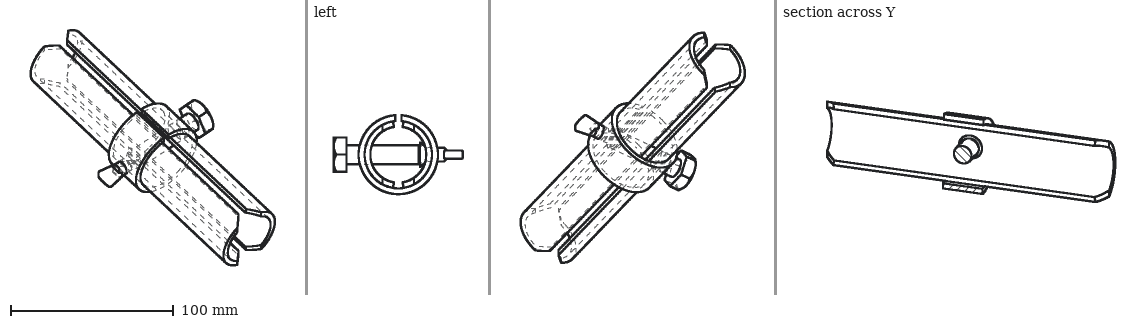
import cadquery as cq
import math


TUBE_LENGTH = 185.0
TUBE_OUTER_R = 20.7
TUBE_INNER_R = 17.2
SPLIT_HALF_GAP = 3.1
CORNER_CUT_Y = 9.6
CORNER_CUT_X = 7.0

COLLAR_LENGTH = 26.0
COLLAR_OUTER_R = 24.5
COLLAR_SLOT = 3.7

ASSEMBLY_Y = 79.5
BOLT_TOP_Y = ASSEMBLY_Y / 2
BOLT_HEAD_HEIGHT = 8.0
BOLT_CORNER_R = 12.2
BOLT_HEAD_BEVEL = 1.7
SHANK_R = 6.0
SHANK_TIP_BEVEL = 1.0

PIN_TIP_Y = BOLT_TOP_Y - ASSEMBLY_Y
PIN_HEAD_Y = -13.5
PIN_HEAD_R = 7.5
PIN_HEAD_DEPTH = 4.3
PIN_R = 4.3
PIN_SHOULDER_Y = -28.1
BLADE_THICKNESS = 5.2
BLADE_FACE_Y = PIN_SHOULDER_Y - (PIN_R - BLADE_THICKNESS / 2)
BLADE_TIP_HALF_WIDTH = 6.1
BLADE_TIP_BULGE = 0.5
BLADE_CORNER_R = 1.5
BLADE_EDGE_R = 1.1


def tube_along_x(length, outer_r, inner_r):
    """Hollow cylinder centred on the origin."""
    return cq.Workplane("YZ").circle(outer_r).circle(inner_r).extrude(length / 2, both=True)


def cylinder_along_y(radius, start_y, end_y):
    """Solid cylinder on the Y axis, from start_y up to end_y."""
    return cq.Workplane("XZ", origin=(0, end_y, 0)).circle(radius).extrude(end_y - start_y)


def round_pin():
    """Countersunk head on a straight shaft that ends where the blade faces begin."""
    return (
        cq.Workplane("XY")
        .moveTo(0, PIN_HEAD_Y)
        .lineTo(PIN_HEAD_R, PIN_HEAD_Y)
        .lineTo(PIN_R, PIN_HEAD_Y - PIN_HEAD_DEPTH)
        .lineTo(PIN_R, BLADE_FACE_Y)
        .lineTo(0, BLADE_FACE_Y)
        .close()
        .revolve(360, (0, 0, 0), (0, 1, 0))
    )


def shoulder_bevels():
    """Wedges that slope the shaft at 45 degrees down to the two blade faces."""
    upper = (
        cq.Workplane("YZ", origin=(-PIN_R, 0, 0))
        .polyline([
            (PIN_SHOULDER_Y, PIN_R),
            (BLADE_FACE_Y, BLADE_THICKNESS / 2),
            (BLADE_FACE_Y, PIN_R),
        ])
        .close()
        .extrude(2 * PIN_R)
    )
    return upper.union(upper.mirror("XY"))


def pin_blade():
    """Flat blade that widens toward a slightly bulged tip, with rounded edges."""
    corner_y = PIN_TIP_Y + BLADE_TIP_BULGE
    return (
        cq.Workplane("XY")
        .moveTo(-PIN_R, PIN_SHOULDER_Y)
        .lineTo(-BLADE_TIP_HALF_WIDTH, corner_y)
        .threePointArc((0, PIN_TIP_Y), (BLADE_TIP_HALF_WIDTH, corner_y))
        .lineTo(PIN_R, PIN_SHOULDER_Y)
        .close()
        .extrude(BLADE_THICKNESS / 2, both=True)
        .edges("|Z")
        .edges("<Y")
        .fillet(BLADE_CORNER_R)
        .faces("|Z")
        .edges()
        .fillet(BLADE_EDGE_R)
    )


def make_pin():
    return round_pin().cut(shoulder_bevels()).union(pin_blade())


def make_bolt():
    """Hexagon head with bevelled corners, and a round shank that ends on the pin head."""
    head_bottom_y = BOLT_TOP_Y - BOLT_HEAD_HEIGHT
    bevel_blank = (
        cylinder_along_y(BOLT_CORNER_R, head_bottom_y, BOLT_TOP_Y)
        .faces(">Y")
        .chamfer(BOLT_HEAD_BEVEL)
    )
    head = (
        cq.Workplane("XZ", origin=(0, BOLT_TOP_Y, 0))
        .polygon(6, 2 * BOLT_CORNER_R)
        .extrude(BOLT_HEAD_HEIGHT)
        .intersect(bevel_blank)
    )
    shank = (
        cylinder_along_y(SHANK_R, PIN_HEAD_Y, head_bottom_y)
        .faces("<Y")
        .chamfer(SHANK_TIP_BEVEL)
    )
    return head.union(shank)


def make_collar():
    """Ring slotted at the top, bored for the bolt behind and the pin in front."""
    slot = cq.Workplane("XY").rect(COLLAR_LENGTH, COLLAR_SLOT).extrude(COLLAR_OUTER_R)
    return (
        tube_along_x(COLLAR_LENGTH, COLLAR_OUTER_R, TUBE_OUTER_R)
        .cut(slot)
        .cut(cylinder_along_y(SHANK_R, 0, COLLAR_OUTER_R))
        .cut(round_pin())
    )


def half_tube(side):
    """Half tube with radial split faces and bevelled corners; side is +1 for +Y, -1 for -Y."""
    half_angle = math.asin(SPLIT_HALF_GAP / TUBE_OUTER_R)
    wedge_height = 2 * TUBE_OUTER_R
    wedge_y = wedge_height * math.tan(half_angle)
    sector = (
        cq.Workplane("YZ", origin=(-TUBE_LENGTH / 2, 0, 0))
        .polyline([
            (0, 0),
            (side * wedge_y, wedge_height),
            (side * wedge_height, wedge_height),
            (side * wedge_height, -wedge_height),
            (side * wedge_y, -wedge_height),
        ])
        .close()
        .extrude(TUBE_LENGTH)
    )
    inner_edge_y = TUBE_INNER_R * math.sin(half_angle)
    end_x = TUBE_LENGTH / 2
    bevel_x = end_x - CORNER_CUT_X
    strip_outer_y = 2 * TUBE_OUTER_R
    outline = (
        cq.Workplane("XY")
        .polyline([
            (-end_x, side * CORNER_CUT_Y),
            (-bevel_x, side * inner_edge_y),
            (bevel_x, side * inner_edge_y),
            (end_x, side * CORNER_CUT_Y),
            (end_x, side * strip_outer_y),
            (-end_x, side * strip_outer_y),
        ])
        .close()
        .extrude(2 * TUBE_OUTER_R, both=True)
    )
    return tube_along_x(TUBE_LENGTH, TUBE_OUTER_R, TUBE_INNER_R).intersect(sector).intersect(outline)


def make_half_tubes():
    """Both halves: the +Y half bored for the bolt, the -Y half bored and countersunk for the pin."""
    bores = {1: cylinder_along_y(SHANK_R, 0, TUBE_OUTER_R), -1: round_pin()}
    return [half_tube(side).cut(bore).val() for side, bore in bores.items()]


half_tubes = make_half_tubes()
collar = make_collar()
bolt = make_bolt()
pin = make_pin()

result = cq.Compound.makeCompound([*half_tubes, collar.val(), bolt.val(), pin.val()])